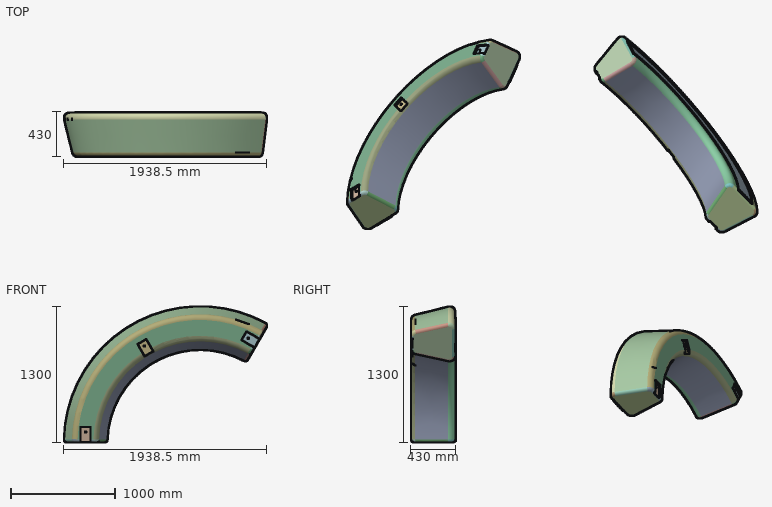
import cadquery as cq
import math

outer_radius = 1300.0
inner_radius = 882.0
overall_depth = 430.0
start_angle = 180.0
end_angle = 60.0
draft_angle = 14.0

long_edge_radius = 56.0
end_edge_radius = 30.0

plate_width = 194.0
plate_thickness = 5.0
plate_end_gap_angle = 1.0

recess_width = 95.0
recess_length = 147.0
recess_depth = 15.0
hole_diameter = 12.0
hole_depth = 39.0
hole_inset = 46.0
middle_recess_top_radius = 1110.0

body_depth = overall_depth - plate_thickness
mid_radius = (outer_radius + inner_radius) / 2
sweep_angle = start_angle - end_angle
middle_angle = (start_angle + end_angle) / 2


def polar(radius, angle):
    """X and Z of a point from its radius and its angle above +X."""
    turn = math.radians(angle)
    return radius * math.cos(turn), radius * math.sin(turn)


def make_body():
    """Revolve the trapezoid section, widest at the back, and round all its edges."""
    half_turn = math.radians((90 + draft_angle) / 2)
    corner_overhang = long_edge_radius * (math.tan(half_turn) - 1)
    back_half = (outer_radius - inner_radius) / 2 + corner_overhang
    front_half = back_half - body_depth * math.tan(math.radians(draft_angle))
    body = (
        cq.Workplane("XY")
        .moveTo(-mid_radius - front_half, 0)
        .lineTo(-mid_radius + front_half, 0)
        .lineTo(-mid_radius + back_half, body_depth)
        .lineTo(-mid_radius - back_half, body_depth)
        .close()
        .revolve(sweep_angle, (0, 0, 0), (0, 1, 0))
    )
    body = body.edges("%CIRCLE").fillet(long_edge_radius)
    body = body.faces("<Z").edges().fillet(end_edge_radius)
    normal_x, normal_z = polar(1, end_angle - 90)
    far_end = cq.selectors.ParallelDirSelector(cq.Vector(normal_x, 0, normal_z))
    return body.faces(far_end).edges().fillet(end_edge_radius)


def make_back_plate():
    """Curved plate along the middle of the back face, stopping short of both ends."""
    plate = (
        cq.Workplane("XY")
        .center(-mid_radius, body_depth)
        .rect(plate_width, 2 * plate_thickness)
        .revolve(sweep_angle - 2 * plate_end_gap_angle, (mid_radius, 0, 0), (mid_radius, 1, 0))
    )
    return plate.rotate((0, 0, 0), (0, 1, 0), plate_end_gap_angle)


def recess_cutter(closed_end, open_angle):
    """Pocket running from its closed end toward open_angle, with a hole near the closed end."""
    pocket = cq.Workplane("XY").box(
        recess_length, 2 * recess_depth, recess_width, centered=(False, True, True)
    )
    hole = (
        cq.Workplane("XZ")
        .center(hole_inset, 0)
        .circle(hole_diameter / 2)
        .extrude(-recess_depth - hole_depth)
    )
    cutter = pocket.union(hole).rotate((0, 0, 0), (0, 1, 0), -open_angle)
    closed_x, closed_z = closed_end
    return cutter.translate((closed_x, 0, closed_z))


result = make_body().union(make_back_plate())

for face_angle, open_angle in ((start_angle, start_angle + 90), (end_angle, end_angle - 90)):
    face_x, face_z = polar(mid_radius, face_angle)
    run_x, run_z = polar(recess_length, open_angle)
    result = result.cut(recess_cutter((face_x - run_x, face_z - run_z), open_angle))

middle_closed_end = polar(middle_recess_top_radius, middle_angle)
result = result.cut(recess_cutter(middle_closed_end, middle_angle + 180))